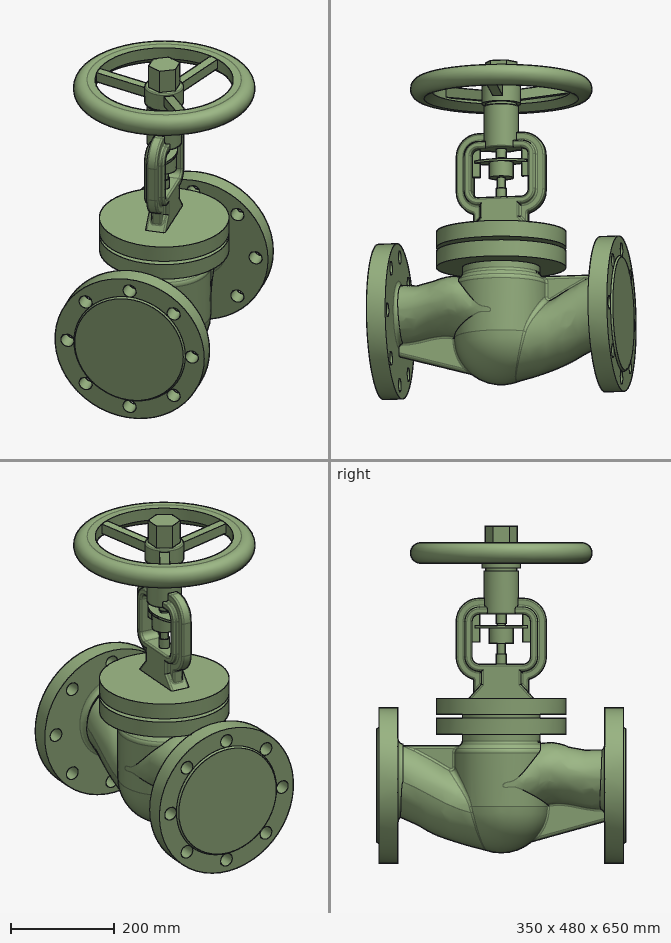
import cadquery as cq
import math


FACE_TO_FACE = 480.0
FLANGE_RADIUS = 150.0
FLANGE_THICKNESS = 37.0
RAISED_FACE_HEIGHT = 4.0
RAISED_FACE_BASE_RADIUS = 112.0
RAISED_FACE_RADIUS = 109.0
BOLT_COUNT = 8
BOLT_CIRCLE_RADIUS = 125.0
BOLT_HOLE_DIAMETER = 26.0
FLANGE_BACK = FACE_TO_FACE / 2 - RAISED_FACE_HEIGHT - FLANGE_THICKNESS
FLANGE_ROOT_RADIUS = 10.0
INLET_BLEND_RADIUS = 8.0

BOWL_RADIUS = 90.0
BOWL_CENTRE_Z = -40.0
NECK_RADIUS = 75.0
SHOULDER_LOWER_RADIUS = 12.5
SHOULDER_UPPER_RADIUS = 8.5
SHOULDER_ANGLE = math.radians(45)
SHOULDER_TOP_Z = 86.0
BODY_FLANGE_RADIUS = 125.0
BODY_FLANGE_BOTTOM_Z = 98.5
BODY_FLANGE_TOP_Z = 130.0
BONNET_BOTTOM_Z = 137.0
BONNET_TOP_Z = 168.0

OUTLET_SECTIONS = [
    (FLANGE_BACK, 10.5, 57.5, 57.0),
    (172.0, 11.5, 57.5, 57.0),
    (132.0, 18.5, 63.0, 56.0),
    (82.0, 21.5, 75.0, 61.0),
    (40.0, 7.5, 83.3, 61.0),
    (18.0, 2.5, 88.5, 60.0),
    (0.0, -1.0, 89.6, 58.0),
]
INLET_SECTIONS = [
    (-FLANGE_BACK, 10.0, 61.5, 70.0),
    (-187.0, 6.0, 61.5, 70.0),
    (-129.0, -23.5, 64.0, 70.5),
    (-102.0, -37.0, 66.0, 68.0),
    (-60.0, -52.0, 69.0, 66.0),
    (0.0, -57.0, 70.0, 68.0),
]

RIB_THICKNESS = 20.0
RIB_EDGE_RADIUS = 6.0
UPPER_RIB_ROOT_RADIUS = 5.0
LOWER_RIB_ROOT_RADIUS = 4.0
UPPER_RIB_TOP_Z = 77.0
LOWER_RIB_OUTER_Z = -69.5
LOWER_RIB_INNER_Y = 57.0
LOWER_RIB_INNER_Z = -109.0

YOKE_BAND_WIDTH = 40.0
YOKE_FIN_WIDTH = 21.0
WINDOW_HALF_WIDTH = 56.0
WINDOW_BOTTOM_Z = 234.0
WINDOW_TOP_Z = 330.0
WINDOW_CORNER_RADIUS = 14.0
BAND_THICKNESS = 14.0
FIN_THICKNESS = 31.0
YOKE_EDGE_RADIUS = 3.5
PEDESTAL_HALF_WIDTH = 38.0
PEDESTAL_FOOT_HALF_WIDTH = 62.5
PEDESTAL_FLARE_Z = 195.0
PEDESTAL_FIN_HALF_WIDTH = 53.0
LUG_WIDTH = 8.0
LUG_DEPTH = 15.0
LUG_BOTTOM_Z = 276.5

STEM_RADIUS = 10.0
STEM_NECK_RADIUS = 8.0
LOWER_STEM_TOP_Z = 253.0
UPPER_STEM_BOTTOM_Z = 312.0
COUPLING_RADIUS = 23.5
COUPLING_BOTTOM_Z = 274.0
TRAVEL_PLATE_BOTTOM_Z = 303.5
TRAVEL_PLATE_TOP_Z = 308.0
TRAVEL_PLATE_HALF_LENGTH = 51.0
TRAVEL_PLATE_END_HALF_WIDTH = 6.0

SLEEVE_RADIUS = 33.5
SLEEVE_TOP_Z = 413.5
SLEEVE_EDGE_RADIUS = 2.0
SLEEVE_GROOVE_RADIUS = 30.0
HUB_RADIUS = 37.5
HUB_BOTTOM_Z = 419.0
HUB_TOP_Z = 454.0
HUB_EDGE_RADIUS = 2.5
WHEEL_RADIUS = 175.0
WHEEL_CENTRE_Z = 448.0
RIM_GRIP_RADIUS = 20.0
RIM_INNER_RADIUS = 133.0
GRIP_CENTRE_RADIUS = WHEEL_RADIUS - RIM_GRIP_RADIUS
RIM_WEB_TOP_Z = 467.0
RIM_WEB_BOTTOM_Z = 443.0
SPOKE_COUNT = 3
SPOKE_WIDTH = 19.0
SPOKE_HEIGHT = 20.0
SPOKE_HUB_TOP_Z = 449.0
HEX_ACROSS_FLATS = 54.0
HEX_TOP_Z = 500.0


def disc(radius, bottom_z, top_z):
    """Cylinder on the stem axis between two heights."""
    return cq.Workplane("XY").workplane(offset=bottom_z).circle(radius).extrude(top_z - bottom_z)


def box_between(half_x, y_range, z_range):
    """Box symmetric in X, between two Y values and two Z values."""
    return (
        cq.Workplane("XY")
        .box(2 * half_x, y_range[1] - y_range[0], z_range[1] - z_range[0], centered=(True, False, False))
        .translate((0, y_range[0], z_range[0]))
    )


def plate_yz(points, width):
    """Straight-sided YZ outline thickened equally to both sides of X = 0."""
    return cq.Workplane("YZ").polyline(points).close().extrude(width / 2, both=True)


def edges_on_side_planes(part, width):
    """Edges lying wholly in one of the planes X = -width/2 and X = +width/2."""
    tolerance = 1e-3
    found = []
    for edge in part.edges().vals():
        box = edge.BoundingBox()
        if all(abs(abs(x) - width / 2) < tolerance for x in (box.xmin, box.xmax)):
            found.append(edge)
    return found


def pipe_flange():
    """Flange at the +Y end, with its raised face and bolt holes."""
    flange = cq.Workplane("XY").circle(FLANGE_RADIUS).extrude(FLANGE_THICKNESS)
    flange = (
        flange.faces(">Z")
        .workplane()
        .polarArray(BOLT_CIRCLE_RADIUS, 0, 360, BOLT_COUNT)
        .hole(BOLT_HOLE_DIAMETER)
    )
    raised_face = cq.Solid.makeCone(
        RAISED_FACE_BASE_RADIUS, RAISED_FACE_RADIUS, RAISED_FACE_HEIGHT, pnt=cq.Vector(0, 0, FLANGE_THICKNESS)
    )
    flange = flange.union(cq.Workplane(raised_face))
    return flange.rotate((0, 0, 0), (1, 0, 0), -90).translate((0, FLANGE_BACK, 0))


def passage(sections):
    """Smooth tube lofted through upright elliptical sections."""
    wires = []
    for y, centre_z, half_width, half_height in sections:
        ellipse = cq.Workplane("XZ", origin=(0, y, centre_z)).ellipse(half_width, half_height)
        wires.append(ellipse.val() if isinstance(ellipse.val(), cq.Wire) else cq.Wire.assembleEdges([ellipse.val()]))
    return cq.Workplane(cq.Solid.makeLoft(wires))


def flange_root(section):
    """Concave flare where a passage meets the back of its flange."""
    y, centre_z, half_width, half_height = section
    away = -math.copysign(1, y)
    radius = FLANGE_ROOT_RADIUS
    flare = (
        cq.Workplane("XY")
        .moveTo(0, 0)
        .lineTo(half_width + radius, 0)
        .radiusArc((half_width, away * radius), away * radius)
        .lineTo(0, away * radius)
        .close()
        .revolve(360, (0, 0, 0), (0, 1, 0))
    )
    stretch = half_height / half_width
    scaled = flare.val().transformGeometry(
        cq.Matrix([[1, 0, 0, 0], [0, 1, 0, y], [0, 0, stretch, centre_z]])
    )
    return cq.Workplane(scaled)


def bowl():
    """Round-bottomed body with an S-shaped shoulder up to the neck."""
    upper_run = SHOULDER_UPPER_RADIUS * (1 - math.cos(SHOULDER_ANGLE))
    upper_drop = SHOULDER_UPPER_RADIUS * math.sin(SHOULDER_ANGLE)
    lower_run = SHOULDER_LOWER_RADIUS * (1 - math.cos(SHOULDER_ANGLE))
    lower_drop = SHOULDER_LOWER_RADIUS * math.sin(SHOULDER_ANGLE)
    cone_outer_radius = BOWL_RADIUS - lower_run
    cone_inner_radius = NECK_RADIUS + upper_run
    cone_top_z = SHOULDER_TOP_Z - upper_drop
    cone_bottom_z = cone_top_z - (cone_outer_radius - cone_inner_radius) / math.tan(SHOULDER_ANGLE)
    return (
        cq.Workplane("XZ")
        .moveTo(0, BOWL_CENTRE_Z - BOWL_RADIUS)
        .radiusArc((BOWL_RADIUS, BOWL_CENTRE_Z), -BOWL_RADIUS)
        .lineTo(BOWL_RADIUS, cone_bottom_z - lower_drop)
        .radiusArc((cone_outer_radius, cone_bottom_z), -SHOULDER_LOWER_RADIUS)
        .lineTo(cone_inner_radius, cone_top_z)
        .radiusArc((NECK_RADIUS, SHOULDER_TOP_Z), SHOULDER_UPPER_RADIUS)
        .lineTo(NECK_RADIUS, BODY_FLANGE_BOTTOM_Z)
        .lineTo(0, BODY_FLANGE_BOTTOM_Z)
        .close()
        .revolve(360, (0, 0, 0), (0, 1, 0))
    )


def upper_rib():
    """Web over the inlet passage, between the shoulder and the flange."""
    outer_y = -FLANGE_BACK
    inlet_z = INLET_SECTIONS[0][1]
    points = [(0, 0), (0, UPPER_RIB_TOP_Z), (outer_y, UPPER_RIB_TOP_Z), (outer_y, inlet_z)]
    return plate_yz(points, RIB_THICKNESS).faces(">Z").edges("|Y").fillet(RIB_EDGE_RADIUS)


def lower_rib():
    """Sloping web under the outlet passage, between the bowl and the flange."""
    points = [
        (FLANGE_BACK, 0),
        (FLANGE_BACK, LOWER_RIB_OUTER_Z),
        (LOWER_RIB_INNER_Y, LOWER_RIB_INNER_Z),
        (LOWER_RIB_INNER_Y, 0),
    ]
    slope = cq.Vector(0, FLANGE_BACK - LOWER_RIB_INNER_Y, LOWER_RIB_OUTER_Z - LOWER_RIB_INNER_Z)
    return plate_yz(points, RIB_THICKNESS).edges(cq.selectors.ParallelDirSelector(slope)).fillet(RIB_EDGE_RADIUS)


def bowl_with_inlet():
    """Bowl blended into the inlet passage, with the upper rib rounded into both."""
    body = bowl().union(passage(INLET_SECTIONS))
    seam_edges = [
        edge
        for edge in body.edges().vals()
        if edge.geomType() == "BSPLINE" and -BOWL_RADIUS < edge.Center().y < 0
    ]
    body = body.newObject(seam_edges).fillet(INLET_BLEND_RADIUS)
    body = body.union(upper_rib())
    rib_edges = edges_on_side_planes(body, RIB_THICKNESS)
    return body.newObject(rib_edges).fillet(UPPER_RIB_ROOT_RADIUS)


def valve_body():
    """Bowl, passages, ribs, pipe flanges and the bolted bonnet flanges."""
    body = bowl_with_inlet().union(passage(OUTLET_SECTIONS)).union(lower_rib())
    root_edges = [
        edge
        for edge in edges_on_side_planes(body, RIB_THICKNESS)
        if edge.Center().y > 0 and (edge.geomType() != "LINE" or edge.Length() < RIB_THICKNESS / 2)
    ]
    body = body.newObject(root_edges).fillet(LOWER_RIB_ROOT_RADIUS)
    for section in (OUTLET_SECTIONS[0], INLET_SECTIONS[0]):
        body = body.union(flange_root(section))
    flange = pipe_flange()
    body = body.union(flange).union(flange.mirror("XZ"))
    body = body.union(disc(BODY_FLANGE_RADIUS, BODY_FLANGE_BOTTOM_Z, BODY_FLANGE_TOP_Z))
    body = body.union(disc(NECK_RADIUS, BODY_FLANGE_TOP_Z, BONNET_BOTTOM_Z))
    return body.union(disc(BODY_FLANGE_RADIUS, BONNET_BOTTOM_Z, BONNET_TOP_Z))


def rounded_block(margin, width):
    """Window outline grown by a margin and thickened across X."""
    half_width = WINDOW_HALF_WIDTH + margin
    z_range = (WINDOW_BOTTOM_Z - margin, WINDOW_TOP_Z + margin)
    block = box_between(width / 2, (-half_width, half_width), z_range)
    return block.edges("|X").fillet(WINDOW_CORNER_RADIUS + margin)


def pedestal():
    """Flared foot of the yoke standing on the bonnet."""
    points = [
        (PEDESTAL_HALF_WIDTH, WINDOW_BOTTOM_Z - BAND_THICKNESS),
        (PEDESTAL_HALF_WIDTH, PEDESTAL_FLARE_Z),
        (PEDESTAL_FOOT_HALF_WIDTH, BONNET_TOP_Z),
    ]
    points += [(-y, z) for y, z in reversed(points)]
    return plate_yz(points, YOKE_BAND_WIDTH)


def yoke():
    """T-section frame: a wide inner band with a narrower fin around it."""
    band = rounded_block(BAND_THICKNESS, YOKE_BAND_WIDTH).union(pedestal())
    band = band.cut(rounded_block(0, 2 * YOKE_BAND_WIDTH))
    band = band.faces("<X or >X").edges("not <Z").fillet(YOKE_EDGE_RADIUS)
    fin = rounded_block(FIN_THICKNESS, YOKE_FIN_WIDTH)
    fin_neck = box_between(
        YOKE_FIN_WIDTH / 2,
        (-PEDESTAL_FIN_HALF_WIDTH, PEDESTAL_FIN_HALF_WIDTH),
        (BONNET_TOP_Z, WINDOW_BOTTOM_Z),
    )
    fin = fin.union(fin_neck).cut(rounded_block(BAND_THICKNESS / 2, 2 * YOKE_FIN_WIDTH))
    frame = band.union(fin)
    fin_face_edges = edges_on_side_planes(frame, YOKE_FIN_WIDTH)
    frame = frame.newObject(fin_face_edges).fillet(YOKE_EDGE_RADIUS)
    for side in (-1, 1):
        inner = side * (WINDOW_HALF_WIDTH - LUG_DEPTH)
        outer = side * (WINDOW_HALF_WIDTH + BAND_THICKNESS / 2)
        lug = box_between(
            LUG_WIDTH / 2, sorted((inner, outer)), (LUG_BOTTOM_Z, WINDOW_TOP_Z + BAND_THICKNESS / 2)
        )
        frame = frame.union(lug)
    return frame


def stem():
    """Stepped stem with its coupling and pointed travel plate."""
    parts = disc(STEM_RADIUS, BONNET_TOP_Z, LOWER_STEM_TOP_Z)
    parts = parts.union(disc(STEM_NECK_RADIUS, LOWER_STEM_TOP_Z, UPPER_STEM_BOTTOM_Z))
    parts = parts.union(disc(STEM_RADIUS, UPPER_STEM_BOTTOM_Z, WINDOW_TOP_Z))
    parts = parts.union(disc(COUPLING_RADIUS, COUPLING_BOTTOM_Z, TRAVEL_PLATE_TOP_Z))
    half_length = TRAVEL_PLATE_HALF_LENGTH
    half_end = TRAVEL_PLATE_END_HALF_WIDTH
    plate = (
        cq.Workplane("XY")
        .workplane(offset=TRAVEL_PLATE_BOTTOM_Z)
        .moveTo(half_end, -half_length)
        .threePointArc((COUPLING_RADIUS, 0), (half_end, half_length))
        .lineTo(-half_end, half_length)
        .threePointArc((-COUPLING_RADIUS, 0), (-half_end, -half_length))
        .close()
        .extrude(TRAVEL_PLATE_TOP_Z - TRAVEL_PLATE_BOTTOM_Z)
    )
    return parts.union(plate)


def rim():
    """Round grip with a flat-topped web narrowing towards its inner wall."""
    web_offset = RIM_WEB_TOP_Z - WHEEL_CENTRE_Z
    crown_radius = GRIP_CENTRE_RADIUS - math.sqrt(RIM_GRIP_RADIUS**2 - web_offset**2)
    return (
        cq.Workplane("XZ")
        .moveTo(crown_radius, WHEEL_CENTRE_Z - web_offset)
        .threePointArc((WHEEL_RADIUS, WHEEL_CENTRE_Z), (crown_radius, RIM_WEB_TOP_Z))
        .lineTo(RIM_INNER_RADIUS, RIM_WEB_TOP_Z)
        .lineTo(RIM_INNER_RADIUS, RIM_WEB_BOTTOM_Z)
        .close()
        .revolve(360, (0, 0, 0), (0, 1, 0))
    )


def spoke():
    """Spoke along +X, climbing from the hub to the rim."""
    outline = [
        (0, SPOKE_HUB_TOP_Z),
        (HUB_RADIUS, SPOKE_HUB_TOP_Z),
        (RIM_INNER_RADIUS, RIM_WEB_TOP_Z),
        (GRIP_CENTRE_RADIUS, RIM_WEB_TOP_Z),
        (GRIP_CENTRE_RADIUS, RIM_WEB_TOP_Z - SPOKE_HEIGHT),
        (RIM_INNER_RADIUS, RIM_WEB_TOP_Z - SPOKE_HEIGHT),
        (HUB_RADIUS, SPOKE_HUB_TOP_Z - SPOKE_HEIGHT),
        (0, SPOKE_HUB_TOP_Z - SPOKE_HEIGHT),
    ]
    return cq.Workplane("XZ").polyline(outline).close().extrude(SPOKE_WIDTH / 2, both=True)


def handwheel():
    """Rim, evenly spaced spokes and a hub with a rounded top edge."""
    wheel = rim()
    for index in range(SPOKE_COUNT):
        angle = 180 + index * 360 / SPOKE_COUNT
        wheel = wheel.union(spoke().rotate((0, 0, 0), (0, 0, 1), angle))
    hub = disc(HUB_RADIUS, HUB_BOTTOM_Z, HUB_TOP_Z).faces(">Z").edges().fillet(HUB_EDGE_RADIUS)
    return wheel.union(hub)


def spindle():
    """Sleeve above the yoke and the hexagon on top of the wheel."""
    sleeve = disc(SLEEVE_RADIUS, WINDOW_TOP_Z, SLEEVE_TOP_Z)
    sleeve = sleeve.faces("<Z").edges().fillet(SLEEVE_EDGE_RADIUS)
    sleeve = sleeve.union(disc(SLEEVE_GROOVE_RADIUS, SLEEVE_TOP_Z, HUB_BOTTOM_Z))
    across_corners = HEX_ACROSS_FLATS / math.cos(math.pi / 6)
    hexagon = cq.Workplane("XY").polygon(6, across_corners).extrude(HEX_TOP_Z - HUB_BOTTOM_Z)
    hexagon = hexagon.rotate((0, 0, 0), (0, 0, 1), 90).translate((0, 0, HUB_BOTTOM_Z))
    return sleeve.union(hexagon)


result = valve_body().union(yoke()).union(stem()).union(spindle()).union(handwheel())